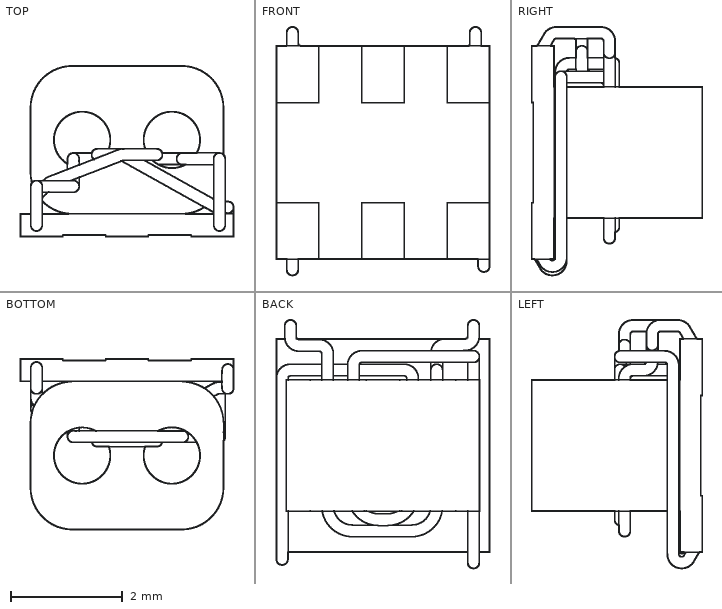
import cadquery as cq
import math

board_side = 3.81
board_back = 0.405
pad_thickness = 0.025
pad_height = 1.012
pad_columns = 3
pad_width = board_side / (2 * pad_columns - 1)
board_edge = board_side / 2

core_width = 3.45
core_depth = 2.645
core_height = 2.345
core_corner_radius = 0.75
core_middle_y = board_back + core_depth / 2
bore_diameter = 1.005
bore_spacing = 1.605

wire_diameter = 0.21
wire_radius = wire_diameter / 2
bend_radius = 0.15
loop_bend_radius = 0.445
lead_slope = math.radians(60)
lead_depth = 0.09

upper_left_x = -1.615
upper_right_x = 1.65
upper_level = 2.14
upper_lead_bend_y = 0.355
upper_left_step = 1.803
upper_right_step = 1.79
left_shelf_y = 0.895
left_shelf_level = 1.35
upper_bore_y = 1.39
upper_left_bore_x = -0.96
upper_right_bore_x = 0.99
upper_loop_level = -1.525

lower_left_x = -1.615
lower_right_x = board_edge - wire_radius
riser_y = 0.525
lower_left_level = -2.09
lower_right_level = -2.03
hook_length = 0.24
left_crossing_level = 1.59
right_crossing_level = 1.35
left_kink_y = 0.74
left_turn_x = -1.385
left_turn_y = 0.965
right_kink_x = 1.6
crossing_x = -0.09
lower_bore_y = 1.465
lower_bore_x = 0.53
lower_loop_level = -1.325


def make_board():
    """Plate with a row of raised pads along its top and bottom edges."""
    thickness = board_back - pad_thickness
    board = cq.Workplane("XY").box(board_side, thickness, board_side, centered=(True, False, True))
    board = board.translate((0, pad_thickness, 0))
    for column in range(pad_columns):
        x = (2 * column - (pad_columns - 1)) * pad_width
        for side in (-1, 1):
            z = side * (board_edge - pad_height / 2)
            pad = cq.Workplane("XY").box(pad_width, board_back, pad_height, centered=(True, False, True))
            board = board.union(pad.translate((x, 0, z)))
    return board


def make_core():
    """Rounded block pierced by the two bores."""
    core = cq.Workplane("XY").box(core_width, core_depth, core_height)
    core = core.edges("|Z").fillet(core_corner_radius)
    bore_places = [(-bore_spacing / 2, 0), (bore_spacing / 2, 0)]
    core = core.faces(">Z").workplane().pushPoints(bore_places).hole(bore_diameter)
    return core.translate((0, core_middle_y, 0))


def make_wire(corners, loop_level):
    """Round wire through the corner points; corners at the loop level get the wider loop bend."""
    points = [cq.Vector(*corner) for corner in corners]
    edges = []
    position = points[0]
    for before, corner, after in zip(points, points[1:], points[2:]):
        incoming = (corner - before).normalized()
        outgoing = (after - corner).normalized()
        bend = loop_bend_radius if math.isclose(corner.z, loop_level) else bend_radius
        half_turn = incoming.getAngle(outgoing) / 2
        setback = bend * math.tan(half_turn)
        bend_start = corner - incoming * setback
        bend_end = corner + outgoing * setback
        bulge = bend / math.cos(half_turn) - bend
        bend_middle = corner + (outgoing - incoming).normalized() * bulge
        edges.append(cq.Edge.makeLine(position, bend_start))
        edges.append(cq.Edge.makeThreePointArc(bend_start, bend_middle, bend_end))
        position = bend_end
    edges.append(cq.Edge.makeLine(position, points[-1]))
    path = cq.Workplane("XY").newObject([cq.Wire.assembleEdges(edges)])
    start_plane = cq.Plane(origin=points[0], normal=points[1] - points[0])
    return cq.Workplane(start_plane).circle(wire_radius).sweep(path)


def lead_tip(x, bend_y, level):
    """End of a sloping lead, just inside the board edge nearest to the given level."""
    tip_z = math.copysign(board_edge - lead_depth, level)
    run = abs(level - tip_z) / math.tan(lead_slope)
    return (x, bend_y - run, tip_z)


def make_upper_winding():
    """Top left lead, down the left bore, below the core, up the right bore, top right lead."""
    return make_wire([
        lead_tip(upper_left_x, upper_lead_bend_y, upper_level),
        (upper_left_x, upper_lead_bend_y, upper_level),
        (upper_left_x, left_shelf_y, upper_level),
        (upper_left_x, left_shelf_y, upper_left_step),
        (upper_left_bore_x, left_shelf_y, upper_left_step),
        (upper_left_bore_x, left_shelf_y, left_shelf_level),
        (upper_left_bore_x, upper_bore_y, left_shelf_level),
        (upper_left_bore_x, upper_bore_y, upper_loop_level),
        (upper_right_bore_x, upper_bore_y, upper_loop_level),
        (upper_right_bore_x, upper_bore_y, upper_right_step),
        (upper_right_x, upper_bore_y, upper_right_step),
        (upper_right_x, upper_bore_y, upper_level),
        (upper_right_x, upper_lead_bend_y, upper_level),
        lead_tip(upper_right_x, upper_lead_bend_y, upper_level),
    ], upper_loop_level)


def make_lower_winding():
    """Bottom left lead, up and over to the right bore, below the core, back to the bottom right lead."""
    hook_y = riser_y - hook_length
    return make_wire([
        lead_tip(lower_left_x, hook_y, lower_left_level),
        (lower_left_x, hook_y, lower_left_level),
        (lower_left_x, riser_y, lower_left_level),
        (lower_left_x, riser_y, left_crossing_level),
        (lower_left_x, left_kink_y, left_crossing_level),
        (left_turn_x, left_turn_y, left_crossing_level),
        (crossing_x, lower_bore_y, left_crossing_level),
        (lower_bore_x, lower_bore_y, left_crossing_level),
        (lower_bore_x, lower_bore_y, lower_loop_level),
        (-lower_bore_x, lower_bore_y, lower_loop_level),
        (-lower_bore_x, lower_bore_y, right_crossing_level),
        (crossing_x, lower_bore_y, right_crossing_level),
        (right_kink_x, riser_y, right_crossing_level),
        (lower_right_x, riser_y, right_crossing_level),
        (lower_right_x, riser_y, lower_right_level),
        (lower_right_x, hook_y, lower_right_level),
        lead_tip(lower_right_x, hook_y, lower_right_level),
    ], lower_loop_level)


result = make_board().union(make_core()).union(make_upper_winding()).union(make_lower_winding())